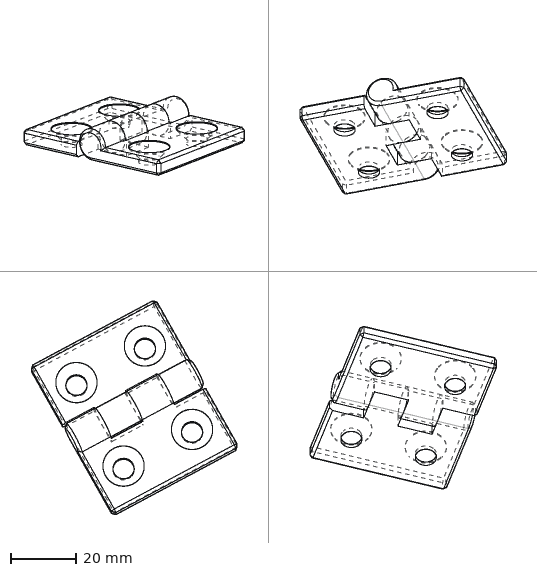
import cadquery as cq

width = 53.0
length = 44.0
height = 10.0
chamfer = 1.0
knuckles_per_leaf = 2
notch_reach = 5.5
hole_x = 15.0
hole_y = 12.0
hole_diameter = 6.45
sink_diameter = 12.65
sink_rim = 0.3

knuckle_radius = height / 2
leaf_thickness = knuckle_radius
leaf_width = width / 2
knuckle_length = length / (2 * knuckles_per_leaf)
cone_depth = (sink_diameter - hole_diameter) / 2


def make_plate():
    """Flat plate from the hinge axis to +X, chamfered on all but its hinge side."""
    plate = cq.Workplane("XY").box(leaf_width, length, leaf_thickness, centered=(False, True, False))
    return plate.edges("not(<X)").chamfer(chamfer)


def make_barrel():
    """Full-length hinge barrel with chamfered ends."""
    barrel = cq.Workplane("XZ").circle(knuckle_radius).extrude(length / 2, both=True)
    return barrel.faces("|Y").edges().chamfer(chamfer).translate((0, 0, knuckle_radius))


def make_notch(index):
    """Space for one knuckle of the opposite leaf."""
    start_y = -length / 2 + (2 * index + 1) * knuckle_length
    notch = cq.Workplane("XY").box(2 * notch_reach, knuckle_length, height, centered=(True, False, False))
    return notch.translate((0, start_y, 0))


def make_screw_hole(y):
    """Countersunk screw hole: bore, cone and rim turned about a vertical axis."""
    bore_radius = hole_diameter / 2
    sink_radius = sink_diameter / 2
    rim_z = leaf_thickness - sink_rim
    cone_z = rim_z - cone_depth
    profile = (
        cq.Workplane("XZ")
        .lineTo(bore_radius, 0)
        .lineTo(bore_radius, cone_z)
        .lineTo(sink_radius, rim_z)
        .lineTo(sink_radius, leaf_thickness)
        .lineTo(0, leaf_thickness)
        .close()
    )
    return profile.revolve(360, (0, 0, 0), (0, 1, 0)).translate((hole_x, y, 0))


def make_leaf():
    """Hinge leaf on the +X side, with alternating knuckles and notches."""
    leaf = make_plate().union(make_barrel())
    for index in range(knuckles_per_leaf):
        leaf = leaf.cut(make_notch(index))
    for y in (-hole_y, hole_y):
        leaf = leaf.cut(make_screw_hole(y))
    return leaf


leaves = [make_leaf().rotate((0, 0, 0), (0, 0, 1), angle) for angle in (0, 180)]

result = cq.Compound.makeCompound([leaf.solids().val() for leaf in leaves])